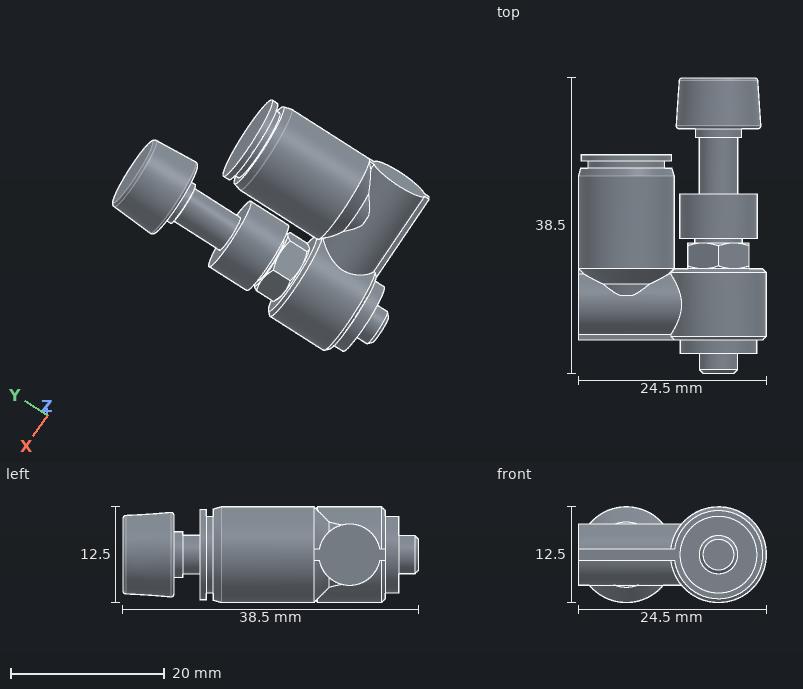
import cadquery as cq
import math


BODY_D = 12.5
BODY_LENGTH = 9.3
BODY_CHAMFER = 0.5
FLANGE_D = 10.0
FLANGE_LENGTH = 1.75
TIP_D = 5.0
TIP_LENGTH = 2.6
TIP_CHAMFER = 0.5

AXIS_SPACING = 12.0
PIPE_D = 8.0
WEB_THICKNESS = 1.5
PIPE_INNER_END_X = -2.0

SOCKET_D = 12.5
SOCKET_END_Y = 22.4
SOCKET_LEAD_LENGTH = 1.05
SOCKET_LEAD_STEP = 0.3
SOCKET_ROOT_D = 8.5
SOCKET_ROOT_TIP_D = 7.8
SOCKET_ROOT_Y = 5.8
RELEASE_NECK_D = 10.0
RELEASE_NECK_LENGTH = 0.9
RELEASE_RING_D = 11.8
RELEASE_RING_LENGTH = 0.85

NUT_FLATS = 8.0
NUT_LENGTH = 3.35
NUT_SIDES = 6
NUT_CHAMFER_ANGLE = 30.0
NECK_D = 6.25
NECK_LENGTH = 0.55
COLLAR_D = 10.12
COLLAR_LENGTH = 5.85
STEM_D = 5.06
STEM_LENGTH = 7.3
STEP_D = 6.0
STEP_LENGTH = 1.15
KNOB_BASE_D = 11.1
KNOB_TOP_D = 10.2
KNOB_LENGTH = 6.65
KNOB_FILLET = 0.4

NUT_END_Y = BODY_LENGTH + NUT_LENGTH
COLLAR_Y = NUT_END_Y + NECK_LENGTH
STEM_Y = COLLAR_Y + COLLAR_LENGTH
STEP_Y = STEM_Y + STEM_LENGTH
KNOB_Y = STEP_Y + STEP_LENGTH
RELEASE_RING_Y = SOCKET_END_Y + RELEASE_NECK_LENGTH

SOCKET_X = -AXIS_SPACING
PIPE_END_X = SOCKET_X - SOCKET_D / 2


def plane_at(y, x=0.0):
    """Sketch plane whose normal is +Y."""
    return cq.Plane(origin=(x, y, 0), xDir=(1, 0, 0), normal=(0, 1, 0))


def cylinder(diameter, y, length, x=0.0):
    return cq.Workplane(plane_at(y, x)).circle(diameter / 2).extrude(length)


def cone(start_d, end_d, y, length, x=0.0):
    start = cq.Workplane(plane_at(y, x)).circle(start_d / 2)
    return start.workplane(offset=length).circle(end_d / 2).loft()


def make_body():
    body = cylinder(BODY_D, 0, BODY_LENGTH).edges().chamfer(BODY_CHAMFER)
    flange = cylinder(FLANGE_D, -FLANGE_LENGTH, FLANGE_LENGTH)
    tip = cylinder(TIP_D, -FLANGE_LENGTH - TIP_LENGTH, TIP_LENGTH)
    tip = tip.faces("<Y").edges().chamfer(TIP_CHAMFER)
    return body.union(flange).union(tip)


def make_cross_pipe():
    """Pipe and web run from the free end to a point well inside the valve body."""
    length = PIPE_INNER_END_X - PIPE_END_X
    start = cq.Workplane("YZ", origin=(PIPE_END_X, BODY_LENGTH / 2, 0))
    pipe = start.circle(PIPE_D / 2).extrude(length)
    web = start.rect(BODY_LENGTH, WEB_THICKNESS).extrude(length)
    return pipe.union(web)


def make_socket():
    barrel_length = SOCKET_END_Y - SOCKET_LEAD_LENGTH - BODY_LENGTH
    barrel = cylinder(SOCKET_D, BODY_LENGTH, barrel_length, SOCKET_X)
    lead = cone(
        SOCKET_D,
        SOCKET_D - 2 * SOCKET_LEAD_STEP,
        SOCKET_END_Y - SOCKET_LEAD_LENGTH,
        SOCKET_LEAD_LENGTH,
        SOCKET_X,
    )
    taper_length = (SOCKET_D - SOCKET_ROOT_D) / 2
    taper_y = BODY_LENGTH - taper_length
    taper = cone(SOCKET_ROOT_D, SOCKET_D, taper_y, taper_length, SOCKET_X)
    root_length = taper_y - SOCKET_ROOT_Y
    root = cone(SOCKET_ROOT_TIP_D, SOCKET_ROOT_D, SOCKET_ROOT_Y, root_length, SOCKET_X)
    neck = cylinder(RELEASE_NECK_D, SOCKET_END_Y, RELEASE_NECK_LENGTH, SOCKET_X)
    ring = cylinder(RELEASE_RING_D, RELEASE_RING_Y, RELEASE_RING_LENGTH, SOCKET_X)
    return barrel.union(lead).union(taper).union(root).union(neck).union(ring)


def make_lock_nut():
    """Hexagon with corners on Z, its corners chamfered at both ends."""
    half_side_angle = math.pi / NUT_SIDES
    corner_d = NUT_FLATS / math.cos(half_side_angle)
    hexagon = cq.Workplane(plane_at(BODY_LENGTH)).polygon(NUT_SIDES, corner_d).extrude(NUT_LENGTH)
    hexagon = hexagon.rotate((0, 0, 0), (0, 1, 0), math.degrees(half_side_angle))
    corner_step = (corner_d - NUT_FLATS) / 2
    corner_drop = corner_step * math.tan(math.radians(NUT_CHAMFER_ANGLE))
    envelope = cylinder(corner_d, BODY_LENGTH, NUT_LENGTH)
    envelope = envelope.faces("<Y or >Y").edges().chamfer(corner_drop, corner_step)
    return hexagon.intersect(envelope)


def make_adjusting_screw():
    neck = cylinder(NECK_D, NUT_END_Y, NECK_LENGTH)
    collar = cylinder(COLLAR_D, COLLAR_Y, COLLAR_LENGTH)
    stem = cylinder(STEM_D, STEM_Y, STEM_LENGTH)
    step = cylinder(STEP_D, STEP_Y, STEP_LENGTH)
    knob = cone(KNOB_BASE_D, KNOB_TOP_D, KNOB_Y, KNOB_LENGTH)
    knob = knob.faces("<Y or >Y").edges().fillet(KNOB_FILLET)
    return neck.union(collar).union(stem).union(step).union(knob)


result = (
    make_body()
    .union(make_cross_pipe())
    .union(make_socket())
    .union(make_lock_nut())
    .union(make_adjusting_screw())
)